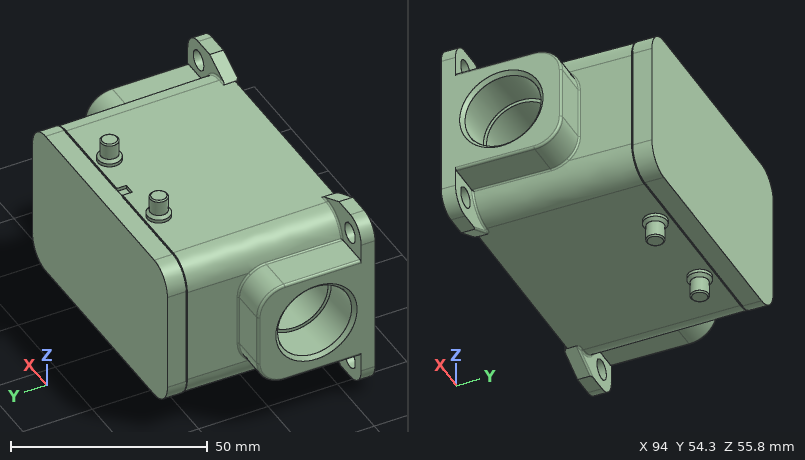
import cadquery as cq

LENGTH = 94.0
DEPTH = 54.3
PIN_SPAN = 55.8

SPLIT_Y = 48.9
RIM_LENGTH = 73.1
RIM_WIDTH = 43.05
RIM_RADIUS = 7.6
RIM_CHAMFER = 0.3
DRAFT = 0.5
BODY_FRONT_Y = 1.0

FLANGE_THICKNESS = 4.0
FLANGE_WIDTH = 51.9
FLANGE_RADIUS = 5.8
FLANGE_INNER_X = 26.0
FLANGE_CHAMFER = 1.3
FLANGE_SHOULDER_X = 35.0
FLANGE_INNER_WIDTH = 43.2
SCREW_HOLE_X = 41.0
SCREW_HOLE_Z = 20.0
SCREW_HOLE_DIAMETER = 5.6

BOSS_WIDTH = 30.3
BOSS_TOP_Y = 33.8
BOSS_RADIUS = 7.8
BOSS_EDGE_RADIUS = 0.7
BOSS_ROOT_X = 28.2
ROOT_FILLET = 0.5
ENTRY_Y = 16.9
ENTRY_DIAMETER = 19.5
COUNTERBORE_DIAMETER = 21.3
COUNTERBORE_DEPTH = 12.0
COUNTERBORE_CHAMFER = 1.0

NOTCH_WIDTH = 3.2
NOTCH_LENGTH = 3.0
NOTCH_DEPTH = 0.9

PIN_X = 13.35
PIN_Y = 44.5
PIN_DIAMETER = 4.9
PIN_TIP_CHAMFER = 0.4
COLLAR_DIAMETER = 6.6
COLLAR_TOP_Z = 23.3
PIN_SEAT_Z = 21.1

GASKET_RADIUS = 7.1

HALF_LENGTH = LENGTH / 2
PIN_TIP_Z = PIN_SPAN / 2
SIDES = (-1, 1)
PIN_PLACES = [(column * PIN_X, side) for column in SIDES for side in SIDES]
SELECT_MARGIN = 0.5


def rim_outline(y, radius):
    """Rounded rectangle in the plane Y = y, ready to be extruded towards -Y."""
    sketch = cq.Sketch().rect(RIM_LENGTH, RIM_WIDTH).vertices().fillet(radius)
    return cq.Workplane("XZ", origin=(0, y, 0)).placeSketch(sketch)


def make_body():
    """Tapered block of the housing, with a fine chamfer around its rim."""
    body = rim_outline(SPLIT_Y, RIM_RADIUS).extrude(SPLIT_Y - BODY_FRONT_Y, taper=-DRAFT)
    return body.faces(">Y").chamfer(RIM_CHAMFER)


def make_flange(side):
    """Mounting flange with rounded outer corners and slanted shoulders."""
    half_width = FLANGE_WIDTH / 2
    half_inner = FLANGE_INNER_WIDTH / 2
    flange = (
        cq.Workplane("XZ")
        .polyline([
            (side * FLANGE_INNER_X, -half_inner),
            (side * FLANGE_SHOULDER_X, -half_width),
            (side * HALF_LENGTH, -half_width),
            (side * HALF_LENGTH, half_width),
            (side * FLANGE_SHOULDER_X, half_width),
            (side * FLANGE_INNER_X, half_inner),
        ])
        .close()
        .extrude(-FLANGE_THICKNESS)
    )
    outer = ">X" if side > 0 else "<X"
    inner = "<X" if side > 0 else ">X"
    flange = flange.faces(outer).edges("|Y").fillet(FLANGE_RADIUS)
    return flange.faces(inner).edges("<Y").chamfer(FLANGE_CHAMFER)


def make_boss(side):
    """Cable entry boss, with its outer rim rounded down to the flange."""
    boss_length = HALF_LENGTH - BOSS_ROOT_X
    boss = (
        cq.Workplane("XY")
        .box(boss_length, BOSS_TOP_Y - BODY_FRONT_Y, BOSS_WIDTH)
        .translate((side * (BOSS_ROOT_X + boss_length / 2), (BODY_FRONT_Y + BOSS_TOP_Y) / 2, 0))
        .faces(">Y").edges("|X").fillet(BOSS_RADIUS)
    )
    side_and_top = cq.selectors.BoxSelector(
        (-LENGTH, BODY_FRONT_Y + SELECT_MARGIN, -LENGTH), (LENGTH, DEPTH, LENGTH)
    )
    outer = ">X" if side > 0 else "<X"
    return boss.faces(outer).edges(side_and_top).fillet(BOSS_EDGE_RADIUS)


def root_edges(side):
    """Edges where a boss and a flange grow out of the tapered body."""
    return cq.selectors.BoxSelector(
        (side * (RIM_LENGTH / 2 + SELECT_MARGIN), FLANGE_THICKNESS - SELECT_MARGIN, -FLANGE_WIDTH / 2),
        (side * FLANGE_INNER_X, BOSS_TOP_Y + SELECT_MARGIN, FLANGE_WIDTH / 2),
        boundingbox=True,
    )


def drill_entry(housing, side):
    """Stepped cable entry, chamfered at the outer face of the boss."""
    outer = cq.Workplane("YZ", origin=(side * HALF_LENGTH, ENTRY_Y, 0))
    bore = outer.circle(ENTRY_DIAMETER / 2).extrude(-side * HALF_LENGTH)
    counterbore = outer.circle(COUNTERBORE_DIAMETER / 2).extrude(-side * COUNTERBORE_DEPTH)
    mouth = outer.circle(COUNTERBORE_DIAMETER / 2 + COUNTERBORE_CHAMFER).extrude(
        -side * COUNTERBORE_CHAMFER, taper=45
    )
    return housing.cut(bore).cut(counterbore).cut(mouth)


def cut_screw_holes(housing):
    """Four screw holes through the flanges."""
    holes = (
        cq.Workplane("XZ")
        .rect(2 * SCREW_HOLE_X, 2 * SCREW_HOLE_Z, forConstruction=True)
        .vertices()
        .circle(SCREW_HOLE_DIAMETER / 2)
        .extrude(-FLANGE_THICKNESS)
    )
    return housing.cut(holes)


def cut_notch(housing):
    """Shallow square notch in the middle of the upper rim, open towards the gasket."""
    notch = (
        cq.Workplane("XY", origin=(0, SPLIT_Y - NOTCH_LENGTH / 2, RIM_WIDTH / 2 - NOTCH_DEPTH))
        .rect(NOTCH_WIDTH, NOTCH_LENGTH)
        .extrude(2 * NOTCH_DEPTH)
    )
    return housing.cut(notch)


def make_pin(x, side):
    """Locking pin on the upper (side = 1) or lower (side = -1) wall, with a conical collar at its foot."""
    axis_start = cq.Workplane("XY", origin=(x, PIN_Y, side * PIN_SEAT_Z))
    tip = ">Z" if side > 0 else "<Z"
    collar = (
        axis_start.circle(COLLAR_DIAMETER / 2)
        .extrude(side * (COLLAR_TOP_Z - PIN_SEAT_Z))
        .faces(tip).chamfer((COLLAR_DIAMETER - PIN_DIAMETER) / 2)
    )
    shank = (
        axis_start.circle(PIN_DIAMETER / 2)
        .extrude(side * (PIN_TIP_Z - PIN_SEAT_Z))
        .faces(tip).chamfer(PIN_TIP_CHAMFER)
    )
    return collar.union(shank)


def cut_pin_seat(housing, x, side):
    """Round recess that holds the foot of a pin's collar."""
    seat = (
        cq.Workplane("XY", origin=(x, PIN_Y, side * PIN_SEAT_Z))
        .circle(COLLAR_DIAMETER / 2)
        .extrude(side * (COLLAR_TOP_Z - PIN_SEAT_Z))
    )
    return housing.cut(seat)


def make_housing():
    housing = make_body()
    for side in SIDES:
        housing = housing.union(make_boss(side))
    for side in SIDES:
        housing = housing.union(make_flange(side))
    for side in SIDES:
        housing = housing.edges(root_edges(side)).fillet(ROOT_FILLET)
    for side in SIDES:
        housing = drill_entry(housing, side)
    housing = cut_screw_holes(housing)
    housing = cut_notch(housing)
    for x, side in PIN_PLACES:
        housing = cut_pin_seat(housing, x, side)
    return housing


def make_gasket():
    return rim_outline(DEPTH, GASKET_RADIUS).extrude(DEPTH - SPLIT_Y)


housing = make_housing()
gasket = make_gasket()
pins = [make_pin(x, side) for x, side in PIN_PLACES]

result = cq.Compound.makeCompound([housing.val(), gasket.val(), *[pin.val() for pin in pins]])